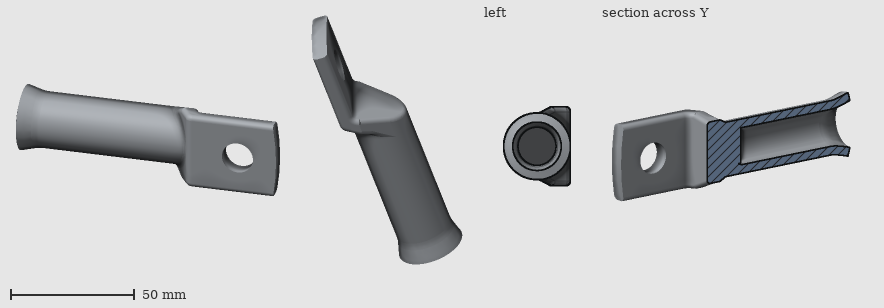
import cadquery as cq
import math

outer_radius = 11.5
wall = 3.8
bore_end = 54.9

mouth_radius = 13.5
flare_angle = math.radians(15)
flare_bend_radius = 11.9

length = 109.9
tongue_width = 32.0
tongue_thickness = 6.3
end_bow = 1.4
hole_x = 93.7
hole_diameter = 13.0
tongue_bottom = -mouth_radius
tongue_top = tongue_bottom + tongue_thickness
half_width = tongue_width / 2

top_slope = math.radians(60)
bottom_slope = math.radians(56)
top_bend_x = 76.3
bottom_bend_x = 72.7
top_bend_radius = 2.4
bottom_bend_radius = 3.3
edge_radius = 2.0
side_taper = math.radians(27.6)
neck_start = 54.9

tolerance = 0.1


def slope_x(bend_x, bend_y, angle, y):
    """X at height y on a slope rising toward the mouth from a bend."""
    return bend_x - (y - bend_y) / math.tan(angle)


def flare_point(offset, turn, straight=0.0):
    """Point of the flared wall, set inward from the outer surface by offset."""
    radius = flare_bend_radius + offset
    x = flare_bend_end - radius * math.sin(turn) - straight * math.cos(turn)
    r = outer_radius - offset + radius * (1 - math.cos(turn)) + straight * math.sin(turn)
    return (x, r)


cone_rise = mouth_radius - outer_radius - flare_bend_radius * (1 - math.cos(flare_angle))
cone_length = cone_rise / math.sin(flare_angle)
flare_bend_end = (flare_bend_radius + wall) * math.sin(flare_angle) + cone_length * math.cos(flare_angle)


def flared_body(offset, end_x):
    """Solid of revolution under the wall surface at the given offset."""
    mouth = flare_point(offset, flare_angle, cone_length)
    lip = flare_point(wall, flare_angle, cone_length)
    outline = cq.Workplane("XY").moveTo(lip[0], 0).lineTo(*lip)
    if offset < wall:
        outline = outline.lineTo(*mouth)
    return (
        outline.lineTo(*flare_point(offset, flare_angle))
        .threePointArc(flare_point(offset, flare_angle / 2), flare_point(offset, 0))
        .lineTo(end_x, outer_radius - offset)
        .lineTo(end_x, 0)
        .close()
        .revolve(360, (0, 0, 0), (1, 0, 0))
    )


def lug_profile():
    """Tongue and sloped neck as seen along Z, extruded over the full width."""
    y_top = outer_radius
    return (
        cq.Workplane("XY")
        .workplane(offset=-half_width)
        .moveTo(bottom_bend_x, tongue_bottom)
        .lineTo(length, tongue_bottom)
        .lineTo(length, tongue_top)
        .lineTo(top_bend_x, tongue_top)
        .lineTo(slope_x(top_bend_x, tongue_top, top_slope, y_top), y_top)
        .lineTo(slope_x(bottom_bend_x, tongue_bottom, bottom_slope, y_top), y_top)
        .close()
        .extrude(tongue_width)
    )


def lug_section():
    """Cross-section whose tapering sides run tangent into the barrel."""
    tangent_y = outer_radius * math.sin(side_taper)
    tangent_z = outer_radius * math.cos(side_taper)
    shoulder_y = tangent_y - (half_width - tangent_z) / math.tan(side_taper)
    return (
        cq.Workplane("YZ")
        .moveTo(tongue_bottom, -half_width)
        .lineTo(shoulder_y, -half_width)
        .lineTo(tangent_y, -tangent_z)
        .threePointArc((outer_radius, 0), (tangent_y, tangent_z))
        .lineTo(shoulder_y, half_width)
        .lineTo(tongue_bottom, half_width)
        .close()
        .extrude(length)
    )


def above_top_slope():
    """Region over the tongue and beyond the upper sloped face."""
    y_top = mouth_radius
    return (
        cq.Workplane("XY")
        .moveTo(top_bend_x, tongue_top)
        .lineTo(slope_x(top_bend_x, tongue_top, top_slope, y_top), y_top)
        .lineTo(length, y_top)
        .lineTo(length, tongue_top)
        .close()
        .extrude(half_width, both=True)
    )


def beyond_end():
    """Waste outside the shallow arc that forms the tongue's far end."""
    corner_x = length - end_bow
    return (
        cq.Workplane("XZ")
        .moveTo(corner_x, -half_width)
        .threePointArc((length, 0), (corner_x, half_width))
        .lineTo(length + end_bow, half_width)
        .lineTo(length + end_bow, -half_width)
        .close()
        .extrude(mouth_radius, both=True)
    )


def round_edges(body, radius, wanted):
    """Fillet every edge whose midpoint and bounding box satisfy the test."""
    edges = [e for e in body.Edges() if wanted(e.positionAt(0.5), e.BoundingBox())]
    return body.fillet(radius, edges)


def across_tongue(bend_x):
    """Test for the straight bend line running across the tongue at bend_x."""
    return lambda mid, box: abs(mid.x - bend_x) < tolerance and box.xlen < tolerance


def on_rim(mid, box):
    """Test for neck and tongue edges, leaving out square end and level shoulder lines."""
    is_neck = box.xmin > neck_start and mid.x < length - tolerance
    is_level = box.ylen < tolerance and box.xmax < top_bend_x
    is_cross_line = box.xlen < tolerance
    return is_neck and not is_level and not is_cross_line


barrel = flared_body(0, top_bend_x).cut(above_top_slope())
lug = lug_profile().intersect(lug_section())
body = barrel.union(lug).val()
body = round_edges(body, top_bend_radius, across_tongue(top_bend_x))
body = round_edges(body, bottom_bend_radius, across_tongue(bottom_bend_x))
body = round_edges(body, edge_radius, on_rim)

bore = flared_body(wall, bore_end)
bolt_hole = (
    cq.Workplane("XZ")
    .center(hole_x, 0)
    .circle(hole_diameter / 2)
    .extrude(mouth_radius, both=True)
)
result = cq.Workplane(body).cut(bore).cut(bolt_hole).cut(beyond_end())